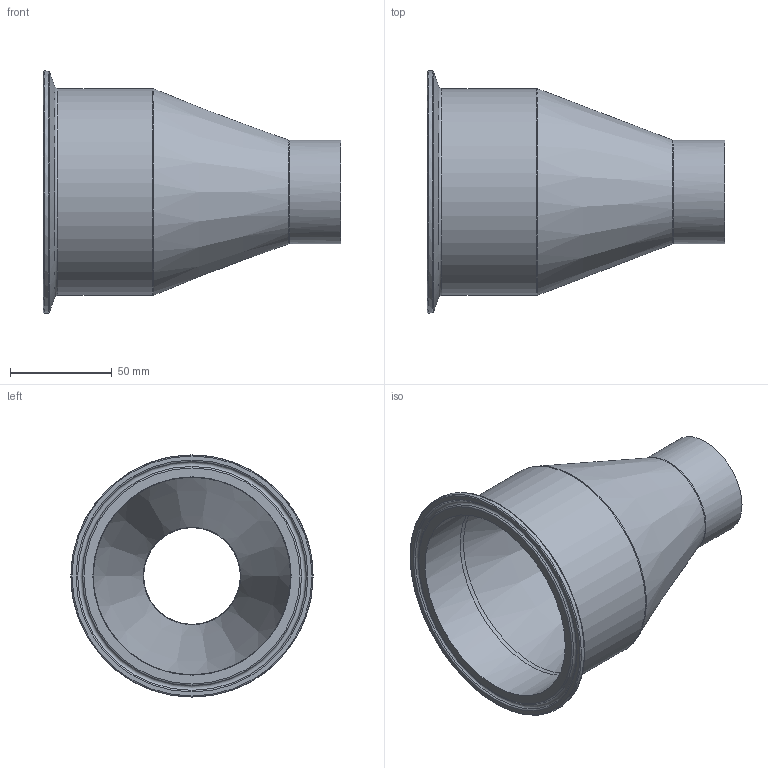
import cadquery as cq
import math


ferrule_length = 15.875
large_tube_length = 38.1
outer_cone_length = 66.675
small_tube_length = 25.4
inner_cone_length = 95.25

large_outer_diameter = 101.6
large_inner_diameter = 97.38
small_outer_diameter = 50.8
small_inner_diameter = 47.5

outer_bend_radius = 2.0
inner_bend_radius = 8.0

flange_diameter = 118.92
flange_rim_width = 2.85
flange_back_angle = 20.0
flange_edge_fillet = 0.5
flange_root_fillet = 1.6

groove_diameter = 110.0
groove_depth = 1.5875
groove_floor_radius = 1.19
groove_lip_radius = 0.79

match_tolerance = 0.01

outer_cone_start = ferrule_length + large_tube_length
cone_end = outer_cone_start + outer_cone_length
inner_cone_start = cone_end - inner_cone_length
total_length = cone_end + small_tube_length


def revolve_about_axis(profile):
    """Close a profile and revolve it a full turn about the X axis."""
    return profile.close().revolve(360, (0, 0, 0), (1, 0, 0))


def circle_edges(body, station, radius):
    """Select the circular edge at one axial station and radius."""

    def matches(edge):
        near_station = abs(edge.Center().x - station) < match_tolerance
        return near_station and abs(edge.radius() - radius) < match_tolerance

    return body.edges("%CIRCLE").filter(matches)


def tapered_solid(large_diameter, small_diameter, cone_start, bend_radius):
    """Large cylinder, cone and small cylinder, with both cone ends rounded."""
    large_radius = large_diameter / 2
    small_radius = small_diameter / 2
    profile = (
        cq.Workplane("XY")
        .lineTo(0, large_radius)
        .lineTo(cone_start, large_radius)
        .lineTo(cone_end, small_radius)
        .lineTo(total_length, small_radius)
        .lineTo(total_length, 0)
    )
    body = revolve_about_axis(profile)
    body = circle_edges(body, cone_start, large_radius).fillet(bend_radius)
    return circle_edges(body, cone_end, small_radius).fillet(bend_radius)


def add_flange(body):
    """Add the clamp flange with its sloped back and rounded edges."""
    tube_radius = large_outer_diameter / 2
    rim_radius = flange_diameter / 2
    back_slope = math.tan(math.radians(flange_back_angle))
    root_station = flange_rim_width + (rim_radius - tube_radius) * back_slope
    profile = (
        cq.Workplane("XY")
        .lineTo(0, rim_radius)
        .lineTo(flange_rim_width, rim_radius)
        .lineTo(root_station, tube_radius)
        .lineTo(root_station, 0)
    )
    body = body.union(revolve_about_axis(profile))
    body = circle_edges(body, root_station, tube_radius).fillet(flange_root_fillet)
    for station in (0, flange_rim_width):
        body = circle_edges(body, station, rim_radius).fillet(flange_edge_fillet)
    return body


def cut_gasket_groove(body):
    """Cut the gasket groove: a round floor running tangentially into two rounded lips."""
    ring_radius = groove_diameter / 2
    floor_center = groove_depth - groove_floor_radius
    center_distance = groove_floor_radius + groove_lip_radius
    axial_distance = groove_lip_radius - floor_center
    half_width = math.sqrt(center_distance**2 - axial_distance**2)

    floor_share = groove_floor_radius / center_distance
    tangent_station = floor_center + axial_distance * floor_share
    tangent_offset = half_width * floor_share

    profile = (
        cq.Workplane("XY")
        .moveTo(0, ring_radius - half_width)
        .radiusArc((tangent_station, ring_radius - tangent_offset), groove_lip_radius)
        .threePointArc(
            (groove_depth, ring_radius),
            (tangent_station, ring_radius + tangent_offset),
        )
        .radiusArc((0, ring_radius + half_width), groove_lip_radius)
    )
    return body.cut(revolve_about_axis(profile))


outer_body = tapered_solid(
    large_outer_diameter, small_outer_diameter, outer_cone_start, outer_bend_radius
)
bore = tapered_solid(
    large_inner_diameter, small_inner_diameter, inner_cone_start, inner_bend_radius
)
result = cut_gasket_groove(add_flange(outer_body)).cut(bore)